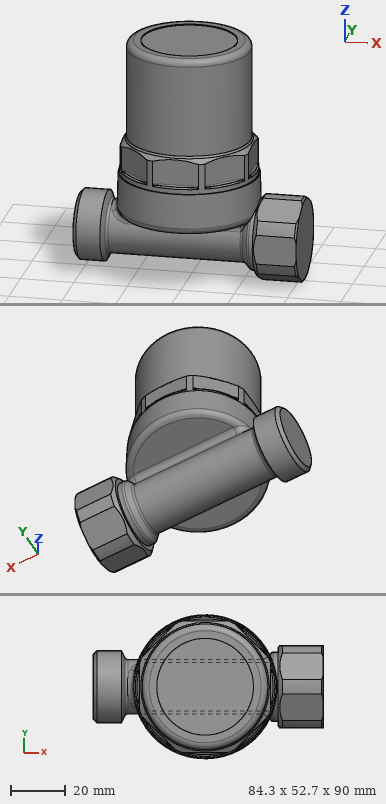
import cadquery as cq
import math


pipe_radius = 10.0
pipe_end_round = 1.2
outlet_x = -41.0
outlet_radius = 13.2
outlet_chamfer = 1.4
outlet_length = 10.4
outlet_shoulder_length = 1.6

inlet_x = 43.3
hex_sides = 6
hex_across_flats = 30.0
hex_corner_radius = 16.0
hex_length = 16.6
hex_inner_chamfer = 1.6
hex_outer_chamfer = 0.7
neck_radius = 12.7
neck_length = 2.3
hex_start_x = inlet_x - hex_length
neck_start_x = hex_start_x - neck_length
neck_cone_start_x = neck_start_x - (neck_radius - pipe_radius)

cos_45 = math.cos(math.pi / 4)
corner_margin = 0.3

bowl_bottom_z = 7.5
bowl_top_z = 23.1
bowl_top_radius = 26.0
bowl_radius = 26.36
bowl_edge_round = 2.5
bowl_wall_middle_z = 16.2
bowl_wall_middle_radius = 26.25
pipe_blend_radius = 2.25

cap_top_z = 74.0
cap_radius = 23.0
cap_top_round = 2.5
label_radius = 17.7
label_depth = 0.4
wrench_across_flats = 48.0
wrench_corner_radius = 25.5
wrench_clear_radius = 28.0
wrench_flat_count = 8
wrench_floor_z = 25.5
wrench_foot_round = 0.5
wrench_floor_edge_round = 0.6
wrench_chamfer_bottom_z = 34.6
wrench_top_z = 36.2
wrench_top_radius = 23.5
cap_foot_z = 37.0


def revolve_about_pipe(profile):
    """Revolve an (x, radius) outline about the pipe axis."""
    return profile.close().revolve(360, (0, 0, 0), (1, 0, 0))


def revolve_about_cap(profile):
    """Revolve a (radius, z) outline about the cap axis."""
    return profile.close().revolve(360, (0, 0, 0), (0, 1, 0))


def make_pipe():
    """Outlet, pipe and inlet neck as one turned shape."""
    outlet_back_x = outlet_x + outlet_length
    outlet_shoulder_end_x = outlet_back_x + outlet_shoulder_length
    pipe = revolve_about_pipe(
        cq.Workplane("XZ")
        .moveTo(outlet_x, 0)
        .lineTo(outlet_x, outlet_radius - outlet_chamfer)
        .lineTo(outlet_x + outlet_chamfer, outlet_radius)
        .lineTo(outlet_back_x, outlet_radius)
        .lineTo(outlet_shoulder_end_x, pipe_radius)
        .lineTo(neck_cone_start_x, pipe_radius)
        .lineTo(neck_start_x, neck_radius)
        .lineTo(hex_start_x, neck_radius)
        .lineTo(hex_start_x, 0)
    )
    widening_rings = pipe.edges("%CIRCLE").filter(
        lambda ring: any(
            abs(ring.Center().x - ring_x) < corner_margin
            for ring_x in (outlet_shoulder_end_x, neck_cone_start_x, neck_start_x)
        )
    )
    return widening_rings.fillet(pipe_end_round)


def make_inlet_hex():
    """Hexagon with corners up and down, its corners turned to a round."""
    hexagon = (
        cq.Workplane("YZ", origin=(hex_start_x, 0, 0))
        .transformed(rotate=(0, 0, 90))
        .polygon(hex_sides, hex_across_flats / math.cos(math.pi / hex_sides))
        .extrude(hex_length)
    )
    turned = revolve_about_pipe(
        cq.Workplane("XZ")
        .moveTo(hex_start_x, 0)
        .lineTo(hex_start_x, hex_corner_radius - hex_inner_chamfer)
        .lineTo(hex_start_x + hex_inner_chamfer, hex_corner_radius)
        .lineTo(inlet_x - hex_outer_chamfer, hex_corner_radius)
        .lineTo(inlet_x, hex_corner_radius - hex_outer_chamfer)
        .lineTo(inlet_x, 0)
    )
    return hexagon.intersect(turned)


def make_bowl():
    """Slightly bulged round bowl that carries the cap."""
    edge_center_radius = bowl_radius - bowl_edge_round
    edge_center_z = bowl_bottom_z + bowl_edge_round
    return revolve_about_cap(
        cq.Workplane("XZ")
        .moveTo(0, bowl_bottom_z)
        .lineTo(edge_center_radius, bowl_bottom_z)
        .threePointArc(
            (edge_center_radius + bowl_edge_round * cos_45, edge_center_z - bowl_edge_round * cos_45),
            (bowl_radius, edge_center_z),
        )
        .threePointArc((bowl_wall_middle_radius, bowl_wall_middle_z), (bowl_top_radius, bowl_top_z))
        .lineTo(0, bowl_top_z)
    )


def blend_bowl_into_pipe(bowl):
    """Join the bowl to a plain pipe and round the inside corner between them."""
    plain_pipe = (
        cq.Workplane("YZ", origin=(outlet_x, 0, 0))
        .circle(pipe_radius)
        .extrude(hex_start_x - outlet_x)
    )
    joined = bowl.union(plain_pipe)
    corner = cq.selectors.BoxSelector(
        (-bowl_radius - corner_margin, -pipe_radius, bowl_bottom_z - corner_margin),
        (bowl_radius + corner_margin, pipe_radius, pipe_radius + corner_margin),
        boundingbox=True,
    )
    return joined.edges(corner).fillet(pipe_blend_radius)


def make_valve_body():
    """Bowl, pipe and hexagonal inlet as one casting."""
    bowl_on_pipe = blend_bowl_into_pipe(make_bowl())
    return bowl_on_pipe.union(make_pipe()).union(make_inlet_hex())


def make_wrench_prism(bottom_z):
    """Octagonal prism from bottom_z to the top of the cap, flats facing X and Y."""
    return (
        cq.Workplane("XY", origin=(0, 0, bottom_z))
        .transformed(rotate=(0, 0, 180 / wrench_flat_count))
        .polygon(wrench_flat_count, wrench_across_flats / math.cos(math.pi / wrench_flat_count))
        .extrude(cap_top_z - bottom_z)
    )


def make_wrench_envelope():
    """Octagon rising with a rounded foot from a wide floor."""
    floor = (
        cq.Workplane("XY", origin=(0, 0, bowl_top_z))
        .circle(wrench_clear_radius)
        .extrude(wrench_floor_z - bowl_top_z)
    )
    envelope = floor.union(make_wrench_prism(wrench_floor_z))
    reach = wrench_clear_radius - corner_margin
    foot = cq.selectors.BoxSelector(
        (-reach, -reach, wrench_floor_z - corner_margin),
        (reach, reach, wrench_floor_z + corner_margin),
        boundingbox=True,
    )
    return envelope.edges(foot).fillet(wrench_foot_round)


def make_floor_edge_cutter():
    """Rounds the outer edge of the floor below each flat, sparing the corners."""
    inner_radius = wrench_corner_radius - wrench_floor_edge_round
    lower_z = wrench_floor_z - wrench_floor_edge_round
    ring = revolve_about_cap(
        cq.Workplane("XZ")
        .moveTo(inner_radius, wrench_floor_z)
        .threePointArc(
            (inner_radius + wrench_floor_edge_round * cos_45, lower_z + wrench_floor_edge_round * cos_45),
            (wrench_corner_radius, lower_z),
        )
        .lineTo(wrench_clear_radius, lower_z)
        .lineTo(wrench_clear_radius, wrench_floor_z)
    )
    return ring.cut(make_wrench_prism(lower_z))


def make_cap():
    """Turned cap with wrench flats around its foot and a shallow label recess on top."""
    blank = revolve_about_cap(
        cq.Workplane("XZ")
        .moveTo(0, bowl_top_z)
        .lineTo(wrench_corner_radius, bowl_top_z)
        .lineTo(wrench_corner_radius, wrench_chamfer_bottom_z)
        .lineTo(wrench_top_radius, wrench_top_z)
        .lineTo(cap_radius, cap_foot_z)
        .lineTo(cap_radius, cap_top_z)
        .lineTo(0, cap_top_z)
    )
    blank = blank.faces(">Z").edges().fillet(cap_top_round)
    with_flats = blank.intersect(make_wrench_envelope()).cut(make_floor_edge_cutter())
    label_recess = (
        cq.Workplane("XY", origin=(0, 0, cap_top_z - label_depth))
        .circle(label_radius)
        .extrude(label_depth)
    )
    return with_flats.cut(label_recess)


valve_body = make_valve_body()
cap = make_cap()

result = cq.Compound.makeCompound([valve_body.val(), cap.val()])